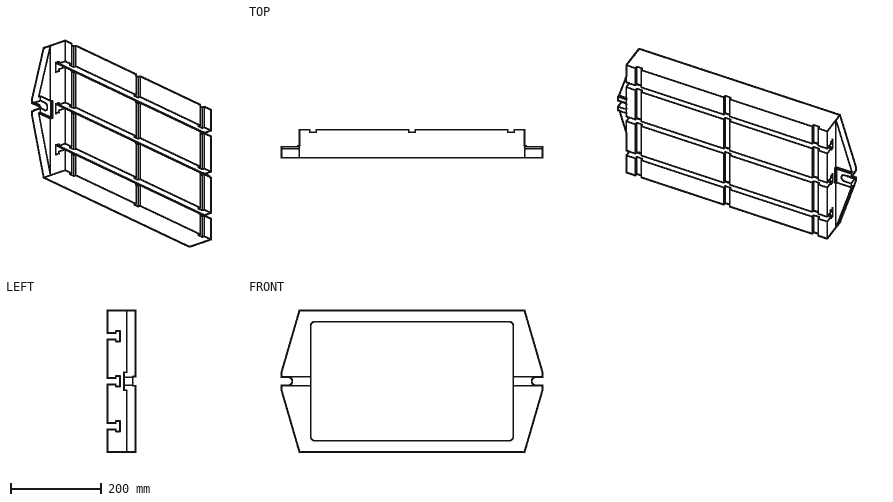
import cadquery as cq

body_length = 500.0
body_depth = 63.0
body_height = 315.0

overall_length = 580.0
wing_thickness = 20.0
pad_height = 40.0
pad_thickness = 25.0

ledge_width = 4.0
ledge_height = 2.0

rim_width = 25.0
pocket_depth = 10.0
pocket_corner_radius = 10.0

groove_width = 20.0
groove_depth = 6.0
notch_width = 18.0
notch_length = 24.0

t_slot_pitch = 100.0
t_slot_neck_width = 14.0
t_slot_head_width = 23.0
t_slot_head_depth = 9.0
t_slot_depth = 28.0

keyway_pitch = 220.0
keyway_width = 14.0
keyway_depth = 6.0

half_body_length = body_length / 2
half_body_height = body_height / 2
half_length = overall_length / 2
wing_length = half_length - half_body_length


def box(x_size, y_start, y_end, z_size, x_center=0.0, z_center=0.0):
    """Box centred in X and Z that spans y_start to y_end."""
    block = cq.Workplane("XY").box(x_size, y_end - y_start, z_size, centered=(True, False, True))
    return block.translate((x_center, y_start, z_center))


def make_wings():
    """Elongated hexagonal plate whose ends form the two wings."""
    half_pad = pad_height / 2
    outline = [
        (-half_body_length, -half_body_height),
        (half_body_length, -half_body_height),
        (half_length, -half_pad),
        (half_length, half_pad),
        (half_body_length, half_body_height),
        (-half_body_length, half_body_height),
        (-half_length, half_pad),
        (-half_length, -half_pad),
    ]
    return cq.Workplane("XZ").polyline(outline).close().extrude(-wing_thickness)


def make_blank():
    """Body, wings and the thicker clamping pads and the root ledges."""
    body = box(body_length, 0, body_depth, body_height)
    pads = box(overall_length, 0, pad_thickness, pad_height)
    ledges = box(body_length + 2 * ledge_width, 0, pad_thickness + ledge_height, pad_height)
    return body.union(make_wings()).union(pads).union(ledges)


def make_pocket():
    pocket = box(body_length - 2 * rim_width, 0, pocket_depth, body_height - 2 * rim_width)
    return pocket.edges("|Y").fillet(pocket_corner_radius)


def make_groove(side):
    """Shallow groove from the wing end to the pocket, with a round-ended notch through the wing."""
    groove_length = wing_length + rim_width
    groove = box(groove_length, 0, groove_depth, groove_width, side * (half_length - groove_length / 2))
    notch = (
        cq.Workplane("XZ")
        .center(side * half_length, 0)
        .slot2D(2 * notch_length, notch_width)
        .extrude(-pad_thickness)
    )
    return groove.union(notch)


def make_t_slot(z_center):
    floor = body_depth - t_slot_depth
    neck = box(body_length, floor, body_depth, t_slot_neck_width, z_center=z_center)
    head = box(body_length, floor, floor + t_slot_head_depth, t_slot_head_width, z_center=z_center)
    return neck.union(head)


def make_keyway(x_center):
    return box(keyway_width, body_depth - keyway_depth, body_depth, body_height, x_center)


result = make_blank().cut(make_pocket())

for side in (-1, 1):
    result = result.cut(make_groove(side))

for row in (-1, 0, 1):
    result = result.cut(make_t_slot(row * t_slot_pitch))
    result = result.cut(make_keyway(row * keyway_pitch))